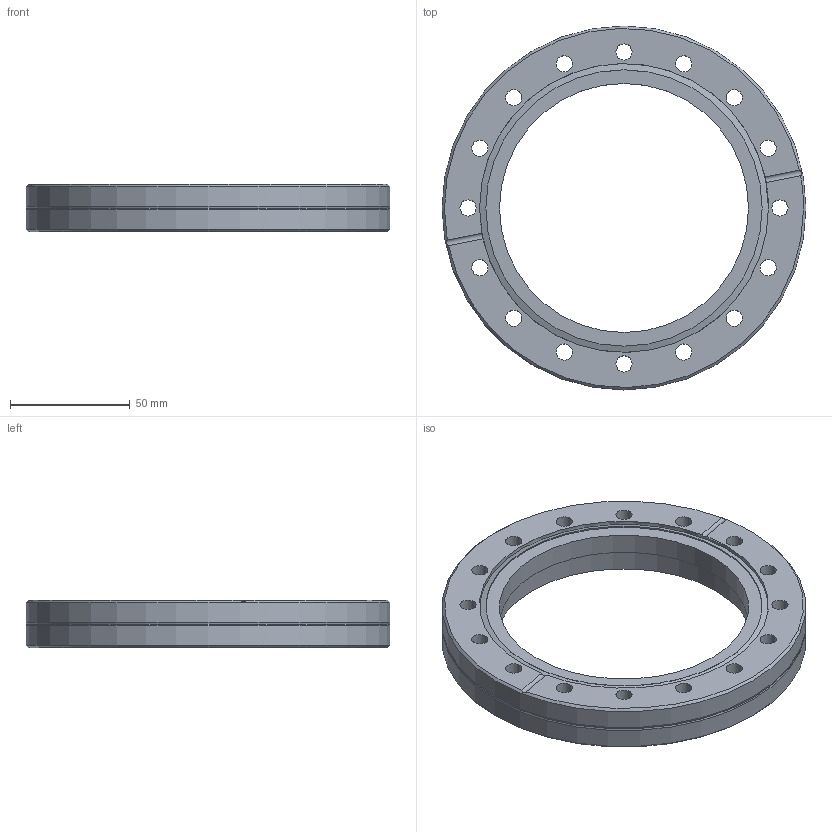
import cadquery as cq
import math

outer_diameter = 152.0
thickness = 19.8
bore_diameter = 104.0
rim_chamfer = 1.0

tube_wall = 2.0
socket_diameter = bore_diameter + 2 * tube_wall
socket_depth = thickness / 2

recess_diameter = 120.65
knife_diameter = 115.4
knife_tip_depth = 0.65
knife_slope_angle = 20.0
inner_floor_depth = 1.2

rim_groove_width = 1.5
rim_groove_depth = 0.2

bolt_count = 16
bolt_circle_diameter = 130.3
bolt_hole_diameter = 6.75

leak_groove_width = 2.4
leak_groove_depth = 0.6
leak_groove_angle = 360.0 / bolt_count / 2

half_thickness = thickness / 2
outer_radius = outer_diameter / 2
bore_radius = bore_diameter / 2
socket_radius = socket_diameter / 2
recess_radius = recess_diameter / 2
knife_radius = knife_diameter / 2
slope_drop = (recess_radius - knife_radius) * math.tan(math.radians(knife_slope_angle))
recess_floor_depth = knife_tip_depth + slope_drop


def make_ring():
    """Revolve the ring section about Z, with the mid-plane at Z = 0."""
    sealing_face = [
        (bore_radius, half_thickness - inner_floor_depth),
        (knife_radius, half_thickness - inner_floor_depth),
        (knife_radius, half_thickness - knife_tip_depth),
        (recess_radius, half_thickness - recess_floor_depth),
        (recess_radius, half_thickness),
    ]
    rim = [
        (outer_radius - rim_chamfer, half_thickness),
        (outer_radius, half_thickness - rim_chamfer),
        (outer_radius, rim_groove_width / 2),
        (outer_radius - rim_groove_depth, 0),
        (outer_radius, -rim_groove_width / 2),
        (outer_radius, rim_chamfer - half_thickness),
        (outer_radius - rim_chamfer, -half_thickness),
    ]
    socket = [
        (socket_radius, -half_thickness),
        (socket_radius, socket_depth - half_thickness),
        (bore_radius, socket_depth - half_thickness),
    ]
    section = cq.Workplane("XZ").polyline(sealing_face + rim + socket).close()
    return section.revolve(360, (0, 0, 0), (0, 1, 0))


def make_bolt_holes():
    """Cylinders for the through holes on the bolt circle."""
    return (
        cq.Workplane("XY")
        .workplane(offset=-half_thickness)
        .polarArray(bolt_circle_diameter / 2, 0, 360, bolt_count)
        .circle(bolt_hole_diameter / 2)
        .extrude(thickness)
    )


def make_leak_groove(angle):
    """Radial cylinder that cuts a round-bottomed groove from the recess out through the rim."""
    groove_radius = (leak_groove_width**2 / 4 + leak_groove_depth**2) / (2 * leak_groove_depth)
    axis_height = half_thickness - leak_groove_depth + groove_radius
    start_radius = knife_radius
    groove = (
        cq.Workplane("YZ")
        .workplane(offset=start_radius)
        .center(0, axis_height)
        .circle(groove_radius)
        .extrude(outer_radius - start_radius)
    )
    return groove.rotate((0, 0, 0), (0, 0, 1), angle)


result = make_ring().cut(make_bolt_holes())
for half_turn in (0, 180):
    result = result.cut(make_leak_groove(leak_groove_angle + half_turn))